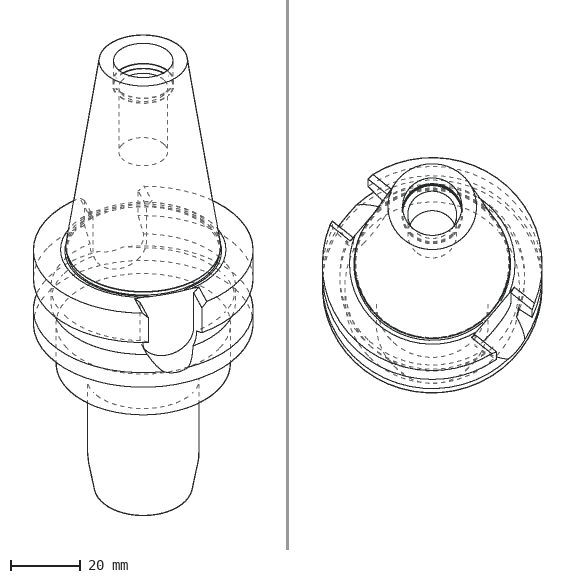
import cadquery as cq
import math


taper_length = 65.4
gauge_radius = 44.45 / 2
taper_rate = 7 / 24
taper_tip_radius = gauge_radius - taper_length * taper_rate / 2

neck_radius = 43.85 / 2
relief_radius = 23.7
relief_depth = 0.42
relief_floor_radius = 22.45
neck_top = -0.4

flange_radius = 63.0 / 2
flange_top = -1.0
flange_bottom = -27.0
groove_center = -16.6
groove_radius = 53.0 / 2
groove_half_opening = 5.3
groove_side_angle = math.radians(60)
groove_side_height = (flange_radius - groove_radius) / math.tan(groove_side_angle)
groove_half_floor = groove_half_opening - groove_side_height

slot_width = 16.1
slot_corner_radius = 8.0
slot_bottom = -22.8
slot_floor = 22.5
slot_chamfer = 1.6
cut_clearance = 1.0

body_radius = 50.0 / 2
body_bottom = -41.4
shoulder_edge_fillet = 0.9
shoulder_slope = math.radians(22)

nose_radius = 32.0 / 2
nose_bottom = -85.0
nose_taper = math.radians(10)
nose_taper_start = -73.4
nose_end_radius = nose_radius - (nose_taper_start - nose_bottom) * math.tan(nose_taper)
root_fillet = 2.5
nose_blend = 18.0
nose_edge_fillet = 1.5

pilot_radius = 17.01 / 2
pilot_depth = 7.2
undercut_radius = 17.41 / 2
undercut_bottom_depth = 8.9
thread_radius = 14.0 / 2
thread_depth = 32.0
bore_cone_angle = math.radians(140)


def revolve_profile(points):
    """Revolve a closed (radius, height) outline about the Z axis."""
    return cq.Workplane("XZ").polyline(points).close().revolve(360, (0, 0), (0, 1))


def make_shank_and_flange():
    return revolve_profile([
        (0, taper_length),
        (taper_tip_radius, taper_length),
        (gauge_radius, 0),
        (neck_radius, neck_top),
        (neck_radius, flange_top - relief_depth),
        (relief_floor_radius, flange_top - relief_depth),
        (relief_radius, flange_top),
        (flange_radius, flange_top),
        (flange_radius, groove_center + groove_half_opening),
        (groove_radius, groove_center + groove_half_floor),
        (groove_radius, groove_center - groove_half_floor),
        (flange_radius, groove_center - groove_half_opening),
        (flange_radius, flange_bottom),
        (0, flange_bottom),
    ])


def edges_at(radius, height):
    """Select the circular edge of the given radius and height."""
    tolerance = 0.05
    return cq.selectors.BoxSelector(
        (-radius - tolerance, -radius - tolerance, height - tolerance),
        (radius + tolerance, radius + tolerance, height + tolerance),
        boundingbox=True,
    )


def make_body_and_nose():
    shoulder_bottom = body_bottom - (body_radius - nose_radius) * math.tan(shoulder_slope)
    body = revolve_profile([
        (0, flange_bottom),
        (body_radius, flange_bottom),
        (body_radius, body_bottom),
        (nose_radius, shoulder_bottom),
        (nose_radius, nose_taper_start),
        (nose_end_radius, nose_bottom),
        (0, nose_bottom),
    ])
    body = body.edges(edges_at(body_radius, body_bottom)).fillet(shoulder_edge_fillet)
    body = body.edges(edges_at(nose_radius, shoulder_bottom)).fillet(root_fillet)
    body = body.edges(edges_at(nose_radius, nose_taper_start)).fillet(nose_blend)
    return body.edges(edges_at(nose_end_radius, nose_bottom)).fillet(nose_edge_fillet)


def make_stud_bore():
    pilot_bottom = taper_length - pilot_depth
    undercut_bottom = taper_length - undercut_bottom_depth
    thread_bottom = taper_length - thread_depth
    cone_slope = 1 / math.tan(bore_cone_angle / 2)
    thread_top = undercut_bottom - (pilot_radius - thread_radius) * cone_slope
    bore_tip = thread_bottom - thread_radius * cone_slope
    return revolve_profile([
        (0, taper_length),
        (pilot_radius, taper_length),
        (pilot_radius, pilot_bottom),
        (undercut_radius, pilot_bottom),
        (undercut_radius, undercut_bottom),
        (pilot_radius, undercut_bottom),
        (thread_radius, thread_top),
        (thread_radius, thread_bottom),
        (0, bore_tip),
    ])


def make_drive_slot(side):
    """Cutter for a round-bottomed slot open at the flange top; side is +1 or -1 along X."""
    half_width = slot_width / 2
    mouth = half_width + slot_chamfer
    flat = half_width - slot_corner_radius
    corner_top = slot_bottom + slot_corner_radius
    reach = side * (flange_radius - slot_floor + cut_clearance)
    return (
        cq.Workplane("YZ", origin=(side * slot_floor, 0, 0))
        .moveTo(-mouth, 0)
        .lineTo(-mouth, flange_top)
        .lineTo(-half_width, flange_top - slot_chamfer)
        .lineTo(-half_width, corner_top)
        .radiusArc((-flat, slot_bottom), -slot_corner_radius)
        .lineTo(flat, slot_bottom)
        .radiusArc((half_width, corner_top), -slot_corner_radius)
        .lineTo(half_width, flange_top - slot_chamfer)
        .lineTo(mouth, flange_top)
        .lineTo(mouth, 0)
        .close()
        .extrude(reach)
    )


result = make_shank_and_flange().union(make_body_and_nose()).cut(make_stud_bore())
for slot_side in (1, -1):
    result = result.cut(make_drive_slot(slot_side))